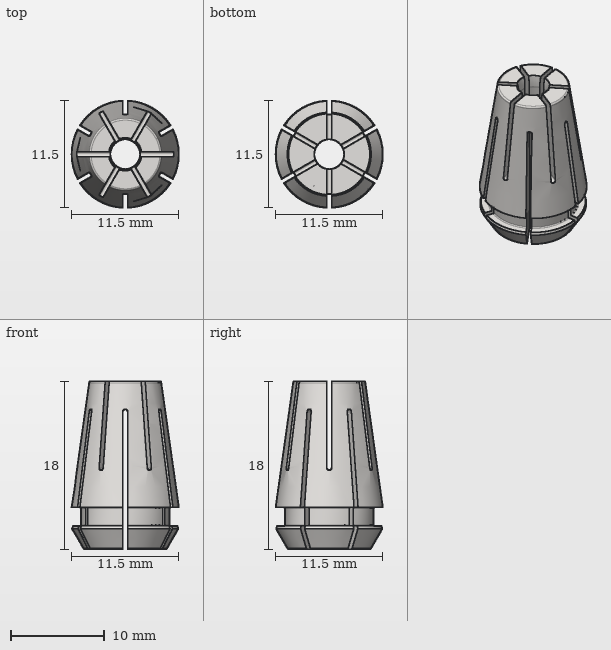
import cadquery as cq
import math

TOTAL_HEIGHT = 18.0
TAPER_BASE_Z = 4.5
FLANGE_TOP_Z = 2.52
FLANGE_RIM_Z = 2.21
NOSE_CHAMFER_HEIGHT = 0.13

TAPER_BASE_RADIUS = 5.75
TAPER_ANGLE = 8.0
TOP_EDGE_FILLET = 0.2

GROOVE_RADIUS = 4.75
GROOVE_FILLET = 0.1

FLANGE_RIM_RADIUS = 5.69
FLANGE_TOP_RADIUS = 5.58
NOSE_ANGLE = 30.0
NOSE_RADIUS = 4.34

BORE_DIAMETER = 3.17
MOUTH_RADIUS = 1.76
MOUTH_DEPTH = 1.35

SLOTS_PER_SET = 6
SLOT_WIDTH = 0.5
LOWER_SLOT_END_Z = 14.98
UPPER_SLOT_END_Z = 8.48

SLOT_PITCH = 360 / SLOTS_PER_SET
BORE_RADIUS = BORE_DIAMETER / 2
TAPER_TOP_RADIUS = TAPER_BASE_RADIUS - (TOTAL_HEIGHT - TAPER_BASE_Z) * math.tan(math.radians(TAPER_ANGLE))
NOSE_CONE_RADIUS = FLANGE_RIM_RADIUS - (FLANGE_RIM_Z - NOSE_CHAMFER_HEIGHT) * math.tan(
    math.radians(NOSE_ANGLE)
)


def collet_body():
    """Solid of revolution: nose cone, flange, nut groove and long taper."""
    body = (
        cq.Workplane("XZ")
        .moveTo(0, 0)
        .lineTo(NOSE_RADIUS, 0)
        .lineTo(NOSE_CONE_RADIUS, NOSE_CHAMFER_HEIGHT)
        .lineTo(FLANGE_RIM_RADIUS, FLANGE_RIM_Z)
        .lineTo(FLANGE_TOP_RADIUS, FLANGE_TOP_Z)
        .lineTo(GROOVE_RADIUS + GROOVE_FILLET, FLANGE_TOP_Z)
        .radiusArc((GROOVE_RADIUS, FLANGE_TOP_Z + GROOVE_FILLET), GROOVE_FILLET)
        .lineTo(GROOVE_RADIUS, TAPER_BASE_Z - GROOVE_FILLET)
        .radiusArc((GROOVE_RADIUS + GROOVE_FILLET, TAPER_BASE_Z), GROOVE_FILLET)
        .lineTo(TAPER_BASE_RADIUS, TAPER_BASE_Z)
        .lineTo(TAPER_TOP_RADIUS, TOTAL_HEIGHT)
        .lineTo(0, TOTAL_HEIGHT)
        .close()
        .revolve(360, (0, 0, 0), (0, 1, 0))
    )
    return body.faces(">Z").edges().fillet(TOP_EDGE_FILLET)


def bore():
    """Through bore, flaring out along a tangent arc at the small end of the collet."""
    return (
        cq.Workplane("XZ")
        .moveTo(0, 0)
        .lineTo(BORE_RADIUS, 0)
        .lineTo(BORE_RADIUS, TOTAL_HEIGHT - MOUTH_DEPTH)
        .tangentArcPoint((MOUTH_RADIUS, TOTAL_HEIGHT), relative=False)
        .lineTo(0, TOTAL_HEIGHT)
        .close()
        .revolve(360, (0, 0, 0), (0, 1, 0))
    )


def slot(open_z, end_z, angle):
    """Radial slot from the axis outwards, open at open_z and rounded at end_z."""
    half_width = SLOT_WIDTH / 2
    inward = math.copysign(half_width, open_z - end_z)
    shoulder_z = end_z + inward
    return (
        cq.Workplane("YZ")
        .moveTo(-half_width, open_z)
        .lineTo(-half_width, shoulder_z)
        .threePointArc((0, end_z), (half_width, shoulder_z))
        .lineTo(half_width, open_z)
        .close()
        .extrude(TAPER_BASE_RADIUS + SLOT_WIDTH)
        .rotate((0, 0, 0), (0, 0, 1), angle)
    )


result = collet_body().cut(bore())
for index in range(SLOTS_PER_SET):
    upper_angle = index * SLOT_PITCH
    lower_angle = upper_angle + SLOT_PITCH / 2
    result = result.cut(slot(TOTAL_HEIGHT, UPPER_SLOT_END_Z, upper_angle))
    result = result.cut(slot(0, LOWER_SLOT_END_Z, lower_angle))